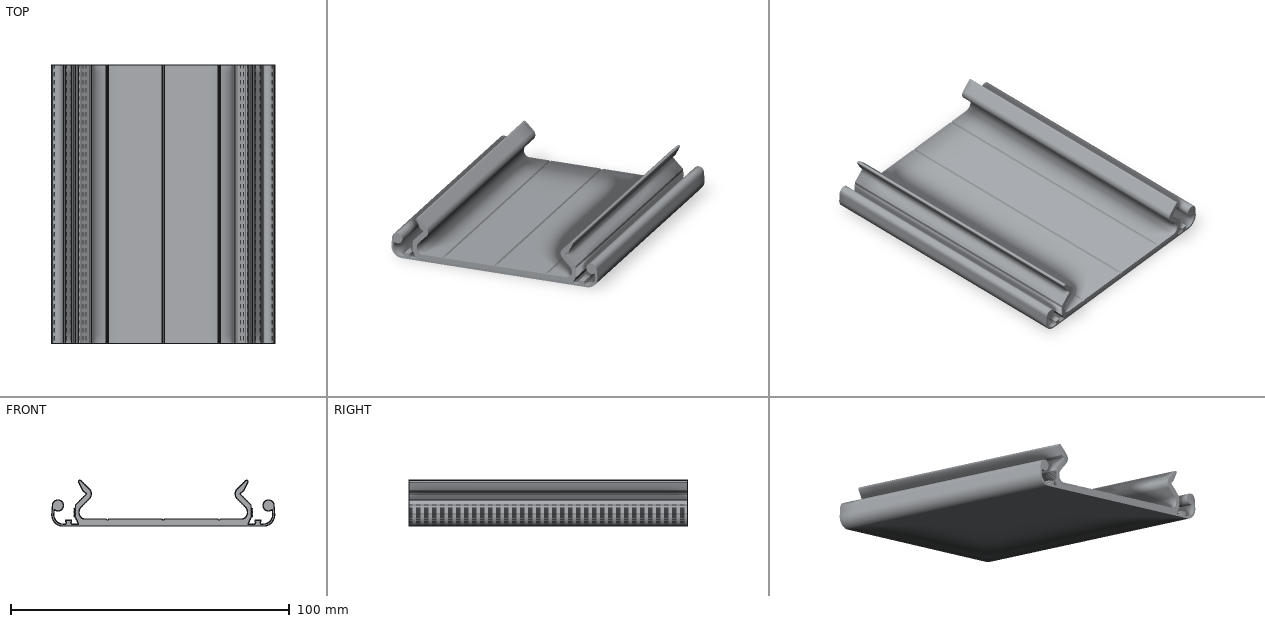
import math

import cadquery as cq

WIDTH = 80.0
LENGTH = 100.0
HEIGHT = 16.5

PLATE_TOP = 2.6
FLANGE_THICKNESS = 0.8

GROOVE_SPACING = 20.0
GROOVE_WIDTH = 0.9
GROOVE_FLOOR_WIDTH = 0.4
GROOVE_DEPTH = 0.3

CURL_RADIUS = 4.1
BEAD_RADIUS = 2.0
BEAD_X = -37.75
BEAD_Z = 7.45

RAIL_X = -33.92
RAIL_TOP = 2.2
RAIL_WIDTH = 2.1
RAIL_WAIST_WIDTH = 1.6
RAIL_WAIST_Z = 1.4
RAIL_CAP_THICKNESS = 0.5

FOOT_X = -30.4
WAIST_OUTER_X = -31.55
WAIST_INNER_X = -30.15
WAIST_BOTTOM_Z = 3.2
ARM_OUTER_OFFSET = 39.1
ARM_INNER_OFFSET = 36.35
CROTCH_X = -27.45
CROTCH_RADIUS = 0.4
NOSE_X = -24.75
NOSE_RADIUS = 2.4
TIP_RADIUS = 0.55
BARB_LEAN = math.radians(27)
BARB_BEND_Z = 12.6
WAIST_INNER_RADIUS = 2.8
FOOT_RADIUS = 2.2

TOOTH_COUNT = 7
TOOTH_PITCH = 0.48
TOOTH_DEPTH = 0.4
TOOTH_OVERLAP = 0.5


def rounded_outline(corners):
    """Closed XZ outline through (x, z, radius) corners; radius 0 keeps a corner sharp."""
    stretches = []
    count = len(corners)
    for index, (x, z, radius) in enumerate(corners):
        corner = cq.Vector(x, z)
        if radius == 0:
            stretches.append((corner, None, corner))
            continue
        before = cq.Vector(*corners[index - 1][:2])
        after = cq.Vector(*corners[(index + 1) % count][:2])
        to_before = (before - corner).normalized()
        to_after = (after - corner).normalized()
        half_angle = to_before.getAngle(to_after) / 2
        setback = radius / math.tan(half_angle)
        bisector = (to_before + to_after).normalized()
        middle = corner + bisector * (radius / math.sin(half_angle) - radius)
        stretches.append((corner + to_before * setback, middle, corner + to_after * setback))

    outline = cq.Workplane("XZ").moveTo(*stretches[0][2].toTuple()[:2])
    for start, middle, end in stretches[1:] + stretches[:1]:
        outline = outline.lineTo(*start.toTuple()[:2])
        if middle is not None:
            outline = outline.threePointArc(middle.toTuple()[:2], end.toTuple()[:2])
    return outline.close()


def extrude_profile(outline):
    """Extrude an XZ outline along the length, centred on Y = 0."""
    return outline.extrude(LENGTH / 2, both=True)


def make_plate():
    width = -2 * (WAIST_INNER_X + FOOT_RADIUS)
    plate = cq.Workplane("XY").box(width, LENGTH, PLATE_TOP, centered=(True, True, False))
    groove_floor = PLATE_TOP - GROOVE_DEPTH
    groove = extrude_profile(cq.Workplane("XZ").polyline([
        (-GROOVE_WIDTH / 2, PLATE_TOP),
        (-GROOVE_FLOOR_WIDTH / 2, groove_floor),
        (GROOVE_FLOOR_WIDTH / 2, groove_floor),
        (GROOVE_WIDTH / 2, PLATE_TOP),
    ]).close())
    for step in (-1, 0, 1):
        plate = plate.cut(groove.translate((step * GROOVE_SPACING, 0, 0)))
    return plate


def make_hook():
    waist_top_z = WAIST_OUTER_X + ARM_OUTER_OFFSET
    nose_z = NOSE_X + ARM_INNER_OFFSET
    plate_edge = WAIST_INNER_X + 2 * FOOT_RADIUS

    tip_z = HEIGHT - TIP_RADIUS
    tip_x = NOSE_X + nose_z - tip_z - TIP_RADIUS * math.sqrt(2)
    inner_normal = math.pi / 4
    outer_normal = math.pi + BARB_LEAN
    apex_direction = (inner_normal + outer_normal) / 2
    apex_distance = TIP_RADIUS / math.cos((outer_normal - inner_normal) / 2)
    apex_x = tip_x + apex_distance * math.cos(apex_direction)
    apex_z = tip_z + apex_distance * math.sin(apex_direction)
    barb_bend_x = apex_x + (apex_z - BARB_BEND_Z) * math.tan(BARB_LEAN)

    hook = extrude_profile(rounded_outline([
        (FOOT_X, 0, 0),
        (FOOT_X, FLANGE_THICKNESS, 0),
        (WAIST_OUTER_X, WAIST_BOTTOM_Z, 0),
        (WAIST_OUTER_X, waist_top_z, 0),
        (CROTCH_X, CROTCH_X + ARM_OUTER_OFFSET, CROTCH_RADIUS),
        (barb_bend_x, BARB_BEND_Z, 0),
        (apex_x, apex_z, TIP_RADIUS),
        (NOSE_X, nose_z, NOSE_RADIUS),
        (WAIST_INNER_X, WAIST_INNER_X + ARM_INNER_OFFSET, WAIST_INNER_RADIUS),
        (WAIST_INNER_X, PLATE_TOP, FOOT_RADIUS),
        (plate_edge, PLATE_TOP, 0),
        (plate_edge, 0, 0),
    ]))
    return hook.union(make_serrations())


def make_serrations():
    """Column of sharp teeth standing out from the outer face of the upright."""
    root_x = WAIST_OUTER_X + TOOTH_OVERLAP
    outline = [(root_x, WAIST_BOTTOM_Z), (WAIST_OUTER_X, WAIST_BOTTOM_Z)]
    for index in range(TOOTH_COUNT):
        bottom = WAIST_BOTTOM_Z + index * TOOTH_PITCH
        outline.append((WAIST_OUTER_X - TOOTH_DEPTH, bottom + TOOTH_PITCH / 2))
        outline.append((WAIST_OUTER_X, bottom + TOOTH_PITCH))
    outline.append((root_x, WAIST_BOTTOM_Z + TOOTH_COUNT * TOOTH_PITCH))
    return extrude_profile(cq.Workplane("XZ").polyline(outline).close())


def make_curl():
    """Flange, curl and bead; the outer face is the common tangent of curl and bead."""
    curl_x = CURL_RADIUS - WIDTH / 2
    curl_z = CURL_RADIUS
    inner_radius = CURL_RADIUS - FLANGE_THICKNESS
    run = curl_x - BEAD_X
    rise = BEAD_Z - curl_z
    tilt = math.atan2(rise, run) - math.acos((CURL_RADIUS - BEAD_RADIUS) / math.hypot(run, rise))

    def around(center_x, center_z, radius, angle):
        return (center_x - radius * math.cos(angle), center_z + radius * math.sin(angle))

    halfway = (tilt - math.pi / 2) / 2
    outline = (
        cq.Workplane("XZ")
        .moveTo(FOOT_X, 0)
        .lineTo(curl_x, 0)
        .threePointArc(
            around(curl_x, curl_z, CURL_RADIUS, halfway),
            around(curl_x, curl_z, CURL_RADIUS, tilt),
        )
        .lineTo(*around(BEAD_X, BEAD_Z, BEAD_RADIUS, tilt))
        .lineTo(*around(BEAD_X, BEAD_Z, BEAD_RADIUS - FLANGE_THICKNESS, tilt))
        .lineTo(*around(curl_x, curl_z, inner_radius, tilt))
        .threePointArc(
            around(curl_x, curl_z, inner_radius, halfway),
            (curl_x, FLANGE_THICKNESS),
        )
        .lineTo(FOOT_X, FLANGE_THICKNESS)
        .close()
    )
    bead = cq.Workplane("XZ").center(BEAD_X, BEAD_Z).circle(BEAD_RADIUS)
    return extrude_profile(outline).union(extrude_profile(bead))


def make_rail():
    """Rail with a square cap, a narrow waist and a foot that flares into the flange."""
    right_half = [
        (RAIL_WIDTH / 2, 0),
        (RAIL_WIDTH / 2, FLANGE_THICKNESS),
        (RAIL_WAIST_WIDTH / 2, RAIL_WAIST_Z),
        (RAIL_WIDTH / 2, RAIL_TOP - RAIL_CAP_THICKNESS),
        (RAIL_WIDTH / 2, RAIL_TOP),
    ]
    left_half = [(-x, z) for x, z in reversed(right_half)]
    rail = cq.Workplane("XZ").polyline(right_half + left_half).close()
    return extrude_profile(rail).translate((RAIL_X, 0, 0))


side = make_curl().union(make_rail()).union(make_hook())
result = make_plate().union(side).union(side.mirror("YZ")).clean()